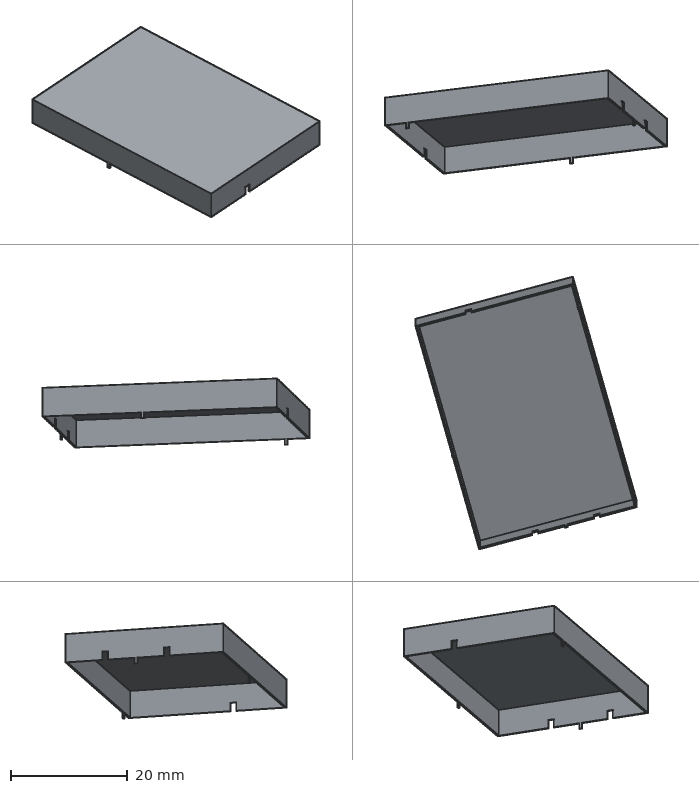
import cadquery as cq

length = 41.0
width = 28.0
total_height = 6.0
pin_length = 1.0
cover_height = total_height - pin_length
sheet = 0.3

pin_width = 0.5
front_pin_x = 17.45 - length / 2
back_pin_x = 36.95 - length / 2
left_pin_y = width / 2 - 12.5

notch_width = 1.02
notch_height = 1.48
notch_offset = 5.5
right_notch_y = width / 2 - 18.6

wall_x = (length - sheet) / 2
wall_y = (width - sheet) / 2


def block(size_x, size_y, height, x, y, bottom):
    """Upright block centred at (x, y) and standing on the given Z."""
    return (
        cq.Workplane("XY")
        .box(size_x, size_y, height, centered=(True, True, False))
        .translate((x, y, bottom))
    )


cover = block(length, width, cover_height, 0, 0, 0)
cavity = block(length - 2 * sheet, width - 2 * sheet, cover_height - sheet, 0, 0, 0)
result = cover.cut(cavity)

notches = [
    (-wall_x, left_pin_y + notch_offset),
    (-wall_x, left_pin_y - notch_offset),
    (wall_x, right_notch_y),
]
for x, y in notches:
    result = result.cut(block(sheet, notch_width, notch_height, x, y, 0))

for x, y in [(front_pin_x, -wall_y), (back_pin_x, wall_y)]:
    result = result.union(block(pin_width, sheet, pin_length, x, y, -pin_length))
result = result.union(block(sheet, pin_width, pin_length, -wall_x, left_pin_y, -pin_length))